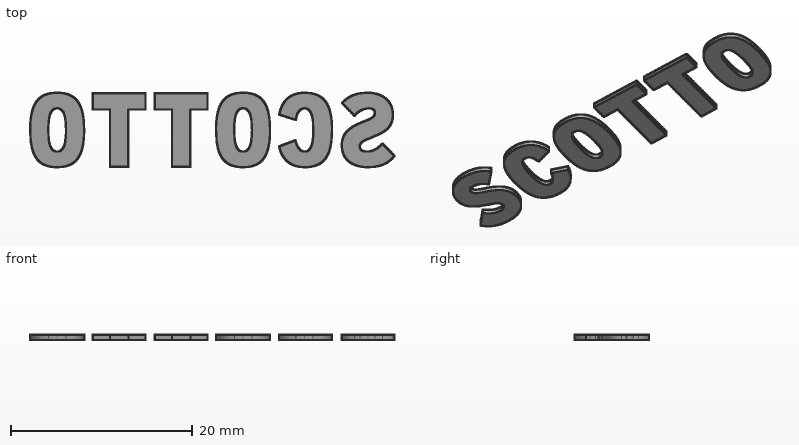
import cadquery as cq

thickness = 0.6
row_length = 40.2
height = 8.25
half_height = height / 2
round_width = 6.0
half_width = round_width / 2
pitch = 6.85
first_x = -row_length / 2 + half_width

opening_half_width = 0.95
opening_half_height = 2.37

fullness = 0.7

t_width = 5.83
t_height = 8.1
t_bar = 1.8
t_stem = 2.05

c_center_x = 10.15
c_half_width = 3.05
c_upper_outer_tip = (-2.8, 1.7)
c_upper_inner_tip = (-0.92, 1.1)
c_lower_outer_tip = (-2.8, -1.8)
c_lower_inner_tip = (-1.0, -1.13)

s_center_x = 17.15
s_upper_outer_tip = (-2.85, 2.97)
s_upper_inner_tip = (-1.5, 1.55)
s_lower_outer_tip = (row_length / 2 - s_center_x, -2.85)
s_lower_inner_tip = (1.6, -1.5)


def quarter_oval(path, start, corner, end):
    """Add a quarter oval whose end tangents meet at the corner."""
    handles = [
        tuple(p + fullness * (c - p) for p, c in zip(point, corner))
        for point in (start, end)
    ]
    return path.bezier([*handles, end], includeCurrent=True)


def oval(x, half_x, half_y):
    """Solid plate with a full oval outline."""
    right, top, left, bottom = (half_x, 0), (0, half_y), (-half_x, 0), (0, -half_y)
    path = cq.Workplane("XY").center(x, 0).moveTo(*right)
    path = quarter_oval(path, right, (half_x, half_y), top)
    path = quarter_oval(path, top, (-half_x, half_y), left)
    path = quarter_oval(path, left, (-half_x, -half_y), bottom)
    path = quarter_oval(path, bottom, (half_x, -half_y), right)
    return path.close().extrude(thickness)


def letter_o(x):
    opening = oval(x, opening_half_width, opening_half_height)
    return oval(x, half_width, half_height).cut(opening)


def letter_t(x):
    top = t_height / 2
    bar_underside = top - t_bar
    outline = [
        (-t_width / 2, top),
        (t_width / 2, top),
        (t_width / 2, bar_underside),
        (t_stem / 2, bar_underside),
        (t_stem / 2, -top),
        (-t_stem / 2, -top),
        (-t_stem / 2, bar_underside),
        (-t_width / 2, bar_underside),
    ]
    return cq.Workplane("XY").center(x, 0).polyline(outline).close().extrude(thickness)


def letter_c(x):
    """Mirrored C, open towards -X."""
    top, right, bottom = (0, half_height), (c_half_width, 0), (0, -half_height)
    inner_top = (0, opening_half_height)
    inner_right = (opening_half_width, 0)
    inner_bottom = (0, -opening_half_height)
    path = cq.Workplane("XY").center(x, 0).moveTo(*c_upper_outer_tip)
    path = path.bezier([(-2.5, 3.3), (-1.5, half_height), top], includeCurrent=True)
    path = quarter_oval(path, top, (c_half_width, half_height), right)
    path = quarter_oval(path, right, (c_half_width, -half_height), bottom)
    path = path.bezier([(-1.5, -half_height), (-2.5, -3.3), c_lower_outer_tip], includeCurrent=True)
    path = path.lineTo(*c_lower_inner_tip)
    path = path.bezier([(-0.75, -1.95), (-0.5, -opening_half_height), inner_bottom], includeCurrent=True)
    path = quarter_oval(path, inner_bottom, (opening_half_width, -opening_half_height), inner_right)
    path = quarter_oval(path, inner_right, (opening_half_width, opening_half_height), inner_top)
    path = path.bezier([(-0.5, opening_half_height), (-0.85, 1.95), c_upper_inner_tip], includeCurrent=True)
    return path.close().extrude(thickness)


def letter_s(x):
    """Mirrored S; each curve is two handles and an end point."""
    inner_edge = [
        [(-1.0, 2.1), (-0.52, opening_half_height), (0.15, opening_half_height)],
        [(0.55, opening_half_height), (0.75, 2.2), (0.75, 1.9)],
        [(0.75, 1.33), (0.15, 1.2), (-0.5, 0.92)],
        [(-1.73, 0.5), (-2.9, -0.2), (-2.9, -1.7)],
        [(-2.9, -3.3), (-1.7, -half_height), (0, -half_height)],
        [(1.3, -half_height), (2.25, -3.75), s_lower_outer_tip],
    ]
    outer_edge = [
        [(1.1, -2.05), (0.55, -opening_half_height), (-0.15, -opening_half_height)],
        [(-0.6, -opening_half_height), (-0.9, -2.2), (-0.9, -1.8)],
        [(-0.9, -1.33), (-0.35, -1.13), (0.12, -0.95)],
        [(1.45, -0.45), (2.77, 0.05), (2.77, 1.7)],
        [(2.77, 3.2), (1.55, half_height), (0, half_height)],
        [(-1.3, half_height), (-2.15, 3.78), s_upper_outer_tip],
    ]
    path = cq.Workplane("XY").center(x, 0).moveTo(*s_upper_outer_tip).lineTo(*s_upper_inner_tip)
    for curve in inner_edge:
        path = path.bezier(curve, includeCurrent=True)
    path = path.lineTo(*s_lower_inner_tip)
    for curve in outer_edge:
        path = path.bezier(curve, includeCurrent=True)
    return path.close().extrude(thickness)


o_letters = [letter_o(first_x + place * pitch) for place in (0, 3)]
t_letters = [letter_t(first_x + place * pitch) for place in (1, 2)]
c_letter = letter_c(c_center_x)
s_letter = letter_s(s_center_x)

result = cq.Compound.makeCompound([
    *[letter.val() for letter in o_letters],
    *[letter.val() for letter in t_letters],
    c_letter.val(),
    s_letter.val(),
])